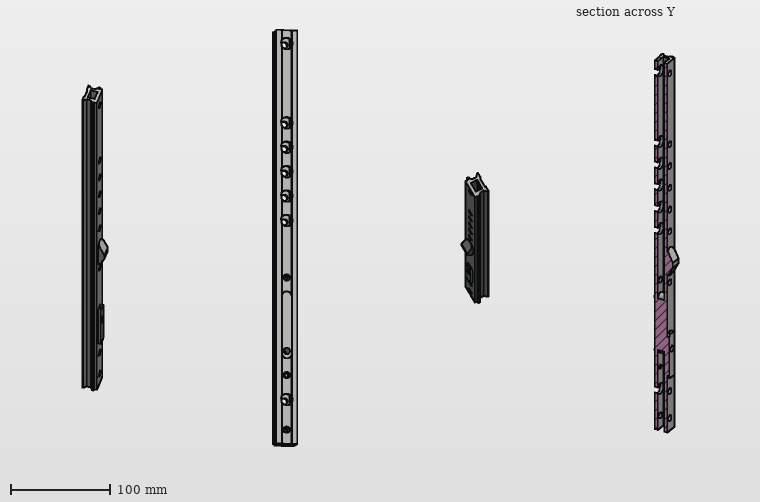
import cadquery as cq

length = 423.0
rail_depth = 15.2
total_depth = 22.0

lip_width = 21.5
waist_width = 16.0
flank_width = 20.5
flange_width = 20.0
back_width = 19.0
total_width = 24.0

lip_end = 1.3
waist_start = 4.0
waist_end = 8.0
flange_start = 10.0

bead_width = 2.5
bead_chamfer = 0.5
bead_end_gap = 1.0

groove_depth = 1.0
groove_mouth_half = 5.5
groove_floor_half = 4.5
bore_start = 4.2
bore_end = 11.5
bore_width = 10.0

screw_diameter = 6.5
head_diameter = 12.0
hole_pitch = 25.0
row_start = 228.5
row_count = 5
head_hole_heights = [45.3, 409.5] + [row_start + i * hole_pitch for i in range(row_count)]
plain_hole_heights = [14.5, 94.8, 170.0]
dimple_height = 70.2
dimple_depth = 1.0
pilot_diameter = 4.2

plate_width = 10.0
cam_width = 12.0
insert_bottom = 87.0
insert_top = 155.5
plate_bottom = 61.0
plate_top = 114.5
plate_thickness = 2.5
plate_chamfer = 1.5
cam_bottom = 178.0
cam_top = 210.2
cam_tip_bottom = 191.0
cam_tip_top = 196.5


def rail_section():
    """Outline of the +Y half, mirrored to give the whole section, extruded full length."""
    half = [
        (0, lip_width / 2),
        (lip_end, lip_width / 2),
        (waist_start, waist_width / 2),
        (waist_end, waist_width / 2),
        (flange_start, flank_width / 2),
        (flange_start + bead_width, flange_width / 2),
        (rail_depth, back_width / 2),
    ]
    mirrored = [(x, -y) for x, y in reversed(half)]
    return cq.Workplane("XY").polyline(half + mirrored).close().extrude(length)


def bead(side):
    """Strip with chamfered corners on one flange edge; side is +1 or -1 in Y."""
    bead_end = flange_start + bead_width
    crest = side * total_width / 2
    shoulder = side * (total_width / 2 - bead_chamfer)
    return (
        cq.Workplane("XY")
        .workplane(offset=bead_end_gap)
        .polyline([
            (flange_start, 0),
            (flange_start, shoulder),
            (flange_start + bead_chamfer, crest),
            (bead_end - bead_chamfer, crest),
            (bead_end, shoulder),
            (bead_end, 0),
        ])
        .close()
        .extrude(length - 2 * bead_end_gap)
    )


def groove():
    """Full-length groove with sloped sides, open on the -X face."""
    return (
        cq.Workplane("XY")
        .polyline([
            (0, groove_mouth_half),
            (groove_depth, groove_floor_half),
            (groove_depth, -groove_floor_half),
            (0, -groove_mouth_half),
        ])
        .close()
        .extrude(length)
    )


def bore():
    """Full-length rectangular hollow inside the rail."""
    return cq.Workplane("XY").box(
        bore_end - bore_start, bore_width, length, centered=(False, True, False)
    ).translate((bore_start, 0, 0))


def x_cylinder(diameter, height, start, end):
    """Cylinder along X at the given Z height."""
    return (
        cq.Workplane("YZ", origin=(start, 0, height))
        .circle(diameter / 2)
        .extrude(end - start)
    )


def obround(width, bottom, top, start, end):
    """Upright bar with rounded ends, spanning bottom to top in Z and start to end in X."""
    return (
        cq.Workplane("YZ", origin=(start, 0, (bottom + top) / 2))
        .slot2D(top - bottom, width, 90)
        .extrude(end - start)
    )


def y_prism(width, points):
    """XZ outline carried across the given width, centred in Y."""
    return cq.Workplane("XZ").polyline(points).close().extrude(width / 2, both=True)


def plate():
    """Thin rounded plate on the +X face with sloped ends."""
    face = rail_depth + plate_thickness
    slope_start = face - plate_chamfer
    outline = y_prism(plate_width, [
        (bore_end, plate_bottom),
        (slope_start, plate_bottom),
        (face, plate_bottom + plate_chamfer),
        (face, plate_top - plate_chamfer),
        (slope_start, plate_top),
        (bore_end, plate_top),
    ])
    return obround(plate_width, plate_bottom, plate_top, bore_end, face).intersect(outline)


def cam():
    """Ramped catch with a flat tip on the +X face."""
    outline = y_prism(cam_width, [
        (bore_end, cam_bottom),
        (rail_depth, cam_bottom),
        (total_depth, cam_tip_bottom),
        (total_depth, cam_tip_top),
        (rail_depth, cam_top),
        (bore_end, cam_top),
    ])
    return obround(cam_width, cam_bottom, cam_top, bore_end, total_depth).intersect(outline)


result = rail_section()
for side in (1, -1):
    result = result.union(bead(side))
result = result.cut(groove()).cut(bore())

result = result.union(obround(bore_width, insert_bottom, insert_top, 0, bore_end))

result = result.union(plate()).union(cam())

for height in head_hole_heights:
    result = result.cut(x_cylinder(head_diameter, height, 0, bore_start))
for height in head_hole_heights + plain_hole_heights:
    result = result.cut(x_cylinder(screw_diameter, height, 0, total_depth))

dimple_floor = groove_depth + dimple_depth
result = result.cut(x_cylinder(screw_diameter, dimple_height, 0, dimple_floor))
result = result.cut(x_cylinder(pilot_diameter, dimple_height, 0, bore_start))